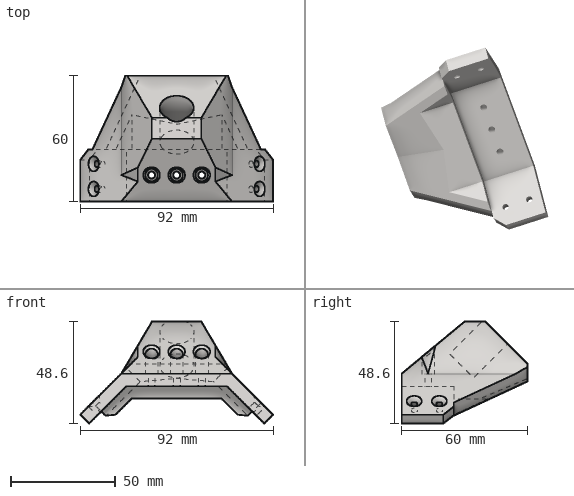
import cadquery as cq
import math

half_width = 46.0
depth = 60.0
height = 48.6

plate_thickness = 6.0
plateau_half = 26.4
plateau_z = half_width - plateau_half + plate_thickness / math.sqrt(2)
wing_length = (half_width - plateau_half) * math.sqrt(2)
bend_inset = math.tan(math.radians(22.5))

pad_front = 24.8
pad_underside = 2 * plate_thickness
wall_shortening = 3.0

ear_corner_y = 19.9
ear_notch_x = 42.1
pad_corner_x = 40.2
taper_end_y = 54.5

boss_top_half = 11.8
boss_top_front = 30.0
boss_top_back = 39.9
boss_back_z = height - (depth - boss_top_back)

front_hole_y = 12.6
front_hole_pitch = 11.95
front_hole_diameter = 3.2
front_bore_diameter = 6.0
front_rim_diameter = 8.0
front_bore_floor = plateau_z
ear_hole_x = 39.5
ear_hole_ys = (6.0, 17.9)
ear_hole_diameter = 3.0
countersink_diameter = 7.2
socket_diameter = 16.2
socket_y = 44.7
socket_depth = 23.0

clip_half = 18.5
clip_rear_y = front_hole_y

clearance = 27.6


def both_sides(cutter):
    return cutter.union(cutter.mirror("YZ"))


def wing_plane():
    """Right wing's outer surface: local x runs down the wing from the bend, local y along Y."""
    return cq.Plane(origin=(plateau_half, 0, plateau_z), xDir=(1, 0, -1), normal=(1, 0, 1))


def along_wing(x):
    return (x - plateau_half) * math.sqrt(2)


def bent_layer(underside, y_start):
    """Bent sheet reaching from the outer surface down to the given depth."""
    tip_shift = underside / math.sqrt(2)
    wing_drop = half_width - plateau_half
    right = [
        (plateau_half, plateau_z),
        (half_width, plateau_z - wing_drop),
        (half_width - tip_shift, plateau_z - wing_drop - tip_shift),
        (plateau_half - underside * bend_inset, plateau_z - underside),
    ]
    left = [(-x, z) for x, z in reversed(right)]
    section = cq.Workplane("XZ", origin=(0, y_start, 0)).polyline(right + left).close()
    return section.extrude(-(depth - y_start))


def boss():
    across = [
        (-plateau_half, plateau_z),
        (plateau_half, plateau_z),
        (boss_top_half, height),
        (-boss_top_half, height),
    ]
    along = [
        (0, plateau_z),
        (boss_top_front, height),
        (boss_top_back, height),
        (depth, boss_back_z),
        (depth, plateau_z),
    ]
    width_form = cq.Workplane("XZ").polyline(across).close().extrude(-depth)
    side_form = cq.Workplane("YZ").polyline(along).close().extrude(half_width, both=True)
    return width_form.intersect(side_form)


def corner_clip():
    """Tetrahedron between the wing surface, boss side, boss front and the clip face."""
    front_slope = (height - plateau_z) / boss_top_front
    side_slope = (height - plateau_z) / (plateau_half - boss_top_half)
    inset = plateau_half - clip_half
    low_rise = inset
    high_rise = inset * side_slope
    corner = (plateau_half, 0, plateau_z)
    rear = (plateau_half, clip_rear_y, plateau_z)
    low = (clip_half, low_rise / front_slope, plateau_z + low_rise)
    high = (clip_half, high_rise / front_slope, plateau_z + high_rise)
    triangles = [(corner, rear, low), (corner, low, high), (corner, high, rear), (rear, high, low)]
    faces = []
    for triangle in triangles:
        points = [cq.Vector(*point) for point in triangle]
        faces.append(cq.Face.makeFromWires(cq.Wire.makePolygon(points, close=True)))
    return cq.Workplane(cq.Solid.makeSolid(cq.Shell.makeShell(faces)))


taper_start = along_wing(pad_corner_x)
taper_slope = taper_start / (taper_end_y - pad_front)


def taper_at(y):
    return taper_start - taper_slope * (y - pad_front)


def wing_trim():
    """Everything outside the wing outline, cut square to the wing."""
    outline = [
        (wing_length, ear_corner_y),
        (along_wing(ear_notch_x), pad_front),
        (taper_start, pad_front),
        (taper_at(depth), depth),
        (wing_length, depth),
    ]
    return cq.Workplane(wing_plane()).polyline(outline).close().extrude(clearance, both=True)


def rear_undercut():
    """Bevel from the lower edge of the tapered wall, running inward under the part to X = 0."""
    frame = wing_plane()
    wall_bottom = wall_shortening - pad_underside
    edge_start = frame.toWorldCoords((taper_start, pad_front, wall_bottom))
    edge_end = frame.toWorldCoords((taper_at(depth), depth, wall_bottom))
    direction = edge_end - edge_start
    inward = frame.zDir.cross(direction)
    bevel_plane = cq.Plane(origin=edge_start, xDir=inward, normal=direction)
    reach = 2 * half_width
    section = [(0, 0), (reach, -reach), (-reach, -reach)]
    bevel = cq.Workplane(bevel_plane).polyline(section).close().extrude(reach, both=True)
    right_half = cq.Workplane("XY").box(reach, 2 * reach, 2 * reach, centered=(False, True, True))
    return bevel.intersect(right_half.translate((0, reach + pad_front, 0)))


def ear_holes():
    places = [(along_wing(ear_hole_x), y) for y in ear_hole_ys]
    cone_depth = (countersink_diameter - ear_hole_diameter) / 2
    wing = cq.Workplane(wing_plane()).pushPoints(places)
    holes = wing.circle(ear_hole_diameter / 2).extrude(-pad_underside)
    cones = wing.circle(countersink_diameter / 2).extrude(-cone_depth, taper=45)
    return holes.union(cones)


def front_holes():
    """Upright stepped holes: a narrow through hole under a wide bore."""
    places = [(i * front_hole_pitch, front_hole_y) for i in (-1, 0, 1)]
    upright = cq.Workplane("XY").pushPoints(places)
    bores = upright.circle(front_bore_diameter / 2).extrude(height)
    bores = bores.translate((0, 0, front_bore_floor))
    return upright.circle(front_hole_diameter / 2).extrude(height).union(bores)


def socket():
    """Blind hole square to the 45 degree back slope."""
    socket_z = height - (socket_y - boss_top_back)
    slope = cq.Plane(origin=(0, socket_y, socket_z), xDir=(1, 0, 0), normal=(0, 1, 1))
    cylinder = cq.Workplane(slope).workplane(offset=-socket_depth).circle(socket_diameter / 2)
    return cylinder.extrude(socket_depth + clearance)


result = bent_layer(plate_thickness, 0).union(bent_layer(pad_underside, pad_front)).union(boss())
result = result.cut(both_sides(wing_trim()))
result = result.cut(both_sides(rear_undercut()))
result = result.cut(both_sides(corner_clip()))
result = result.cut(both_sides(ear_holes()))
result = result.cut(front_holes())

rim_width = (front_rim_diameter - front_bore_diameter) / 2
bore_rims = cq.selectors.BoxSelector(
    (-plateau_half, 0, front_bore_floor + rim_width),
    (plateau_half, depth, height),
)
result = result.edges("%ELLIPSE").edges(bore_rims).chamfer(rim_width)
result = result.cut(socket())